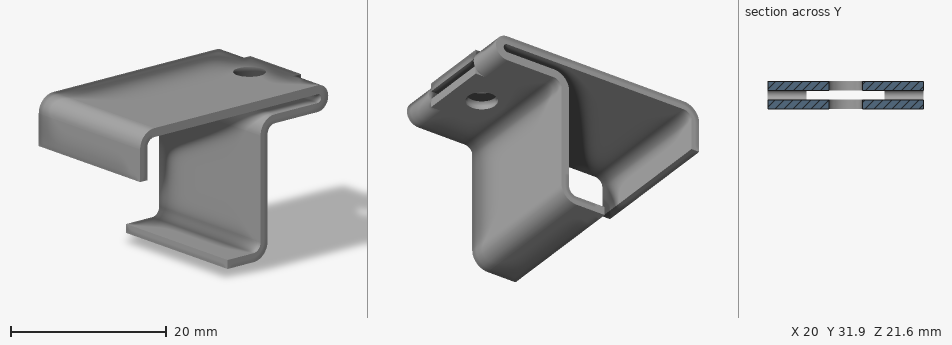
import cadquery as cq

width = 20.0
depth = 31.85
height = 21.6

sheet = 1.2
inner_radius = 1.18
outer_radius = inner_radius + sheet
hem_gap = 1.18
hem_height = 2 * sheet + hem_gap
hem_radius = hem_height / 2

lip_height = 6.78
web_front_inset = 11.47
foot_end_inset = 17.05

tab_width = 10.0
tab_inset = 0.32
hole_diameter = 4.2
hole_inset = 4.75

hem_center_y = depth - hem_radius
web_front_y = depth - web_front_inset
web_rear_y = web_front_y + sheet
foot_end_y = depth - foot_end_inset
upper_bend_y = web_front_y + outer_radius
lower_bend_y = web_rear_y - outer_radius
hole_y = depth - hole_inset

top_bend_z = height - outer_radius
lip_bottom_z = height - lip_height
upper_sheet_z = height - sheet
lower_sheet_top_z = upper_sheet_z - hem_gap
lower_sheet_z = height - hem_height
upper_bend_z = lower_sheet_top_z - outer_radius


def bent_strip():
    """Full-width bent sheet: lip, top plate, hem, web and foot."""
    return (
        cq.Workplane("YZ", origin=(-width / 2, 0, 0))
        .moveTo(0, lip_bottom_z)
        .lineTo(0, top_bend_z)
        .radiusArc((outer_radius, height), outer_radius)
        .lineTo(hem_center_y, height)
        .radiusArc((depth, height - hem_radius), hem_radius)
        .radiusArc((hem_center_y, lower_sheet_z), hem_radius)
        .lineTo(upper_bend_y, lower_sheet_z)
        .radiusArc((web_rear_y, upper_bend_z), -inner_radius)
        .lineTo(web_rear_y, outer_radius)
        .radiusArc((lower_bend_y, 0), outer_radius)
        .lineTo(foot_end_y, 0)
        .lineTo(foot_end_y, sheet)
        .lineTo(lower_bend_y, sheet)
        .radiusArc((web_front_y, outer_radius), -inner_radius)
        .lineTo(web_front_y, upper_bend_z)
        .radiusArc((upper_bend_y, lower_sheet_top_z), outer_radius)
        .lineTo(hem_center_y, lower_sheet_top_z)
        .radiusArc((hem_center_y + hem_gap / 2, height - hem_radius), -hem_gap / 2)
        .radiusArc((hem_center_y, upper_sheet_z), -hem_gap / 2)
        .lineTo(outer_radius, upper_sheet_z)
        .radiusArc((sheet, top_bend_z), -inner_radius)
        .lineTo(sheet, lip_bottom_z)
        .close()
        .extrude(width)
    )


def hem_block(y_length, z_length, z_bottom):
    """Block of tab width that starts at the hem bend and runs to the rear."""
    return (
        cq.Workplane("XY", origin=(0, hem_center_y, z_bottom))
        .box(tab_width, y_length, z_length, centered=(True, False, False))
    )


result = bent_strip().cut(hem_block(hem_radius, hem_height, lower_sheet_z))
for tab_bottom_z in (upper_sheet_z, lower_sheet_z):
    result = result.union(hem_block(hem_radius - tab_inset, sheet, tab_bottom_z))

hole = (
    cq.Workplane("XY", origin=(0, hole_y, lower_sheet_z))
    .circle(hole_diameter / 2)
    .extrude(hem_height)
)
result = result.cut(hole)